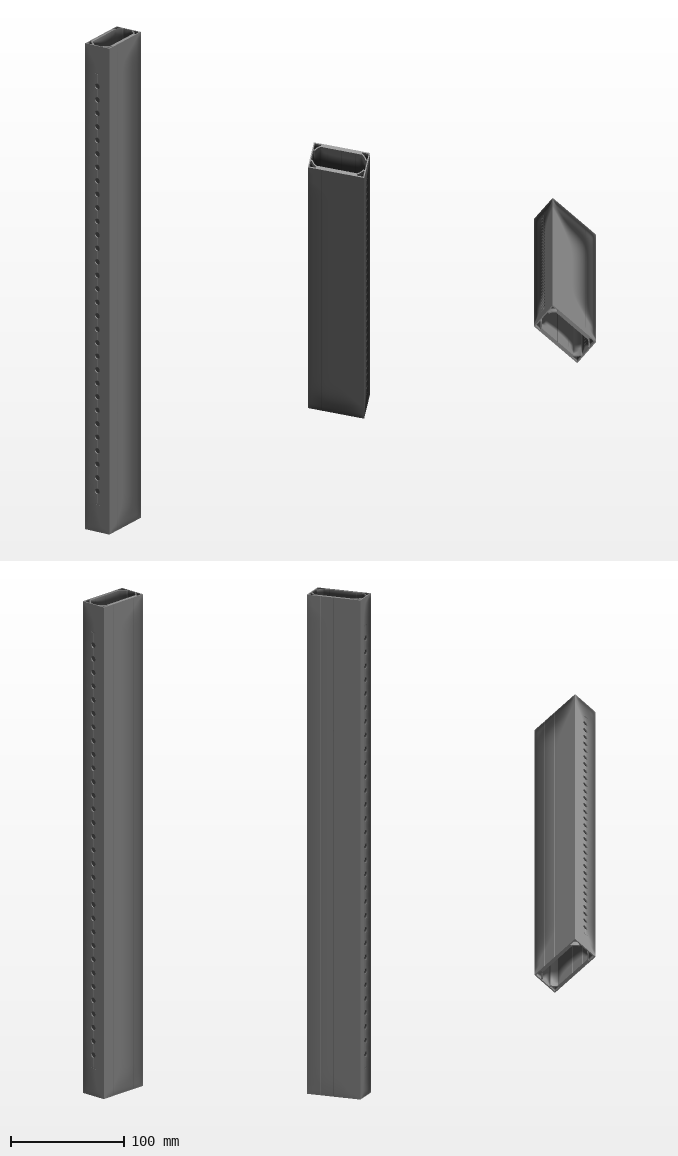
import cadquery as cq

width = 25.4
depth = 50.8
length = 457.2

pitch = 12.7
thin_wall = 1.016
thick_wall = 3.175
bore_radius = 11.1125
web_radius = bore_radius + thin_wall
pocket_half_width = 4.7625
channel_start = pocket_half_width + thin_wall

half_width = width / 2
half_depth = depth / 2
channel_x = half_width - thin_wall
inner_y = half_depth - thin_wall
cavity_x = half_width - thick_wall

groove_width = 0.4
groove_depth = groove_width / 2
groove_positions = (-pitch, 0, pitch)

hole_diameter = 5.0
hole_count = 31
row_length = (hole_count + 1) * pitch
bar_length = hole_diameter
bar_height = 1.2


def prism(profile):
    """Extrude an XY profile over the full length."""
    return profile.extrude(length / 2, both=True)


def make_cavity():
    """Two bores joined by a box and trimmed flat by the thick walls, plus the mid-face pockets."""
    bores = prism(cq.Workplane("XY").pushPoints([(0, -pitch), (0, pitch)]).circle(bore_radius))
    middle = prism(cq.Workplane("XY").rect(width, 2 * pitch))
    limit = prism(cq.Workplane("XY").rect(2 * cavity_x, depth))
    pockets = prism(cq.Workplane("XY").rect(2 * pocket_half_width, 2 * inner_y))
    return bores.union(middle).intersect(limit).union(pockets)


def make_corner_channels():
    """Square channels in the four corners, each cut back by the round web beside the bore."""
    near_y = pitch + channel_start
    center = ((channel_start + channel_x) / 2, (near_y + inner_y) / 2)
    corners = [(side_x * center[0], side_y * center[1]) for side_x in (-1, 1) for side_y in (-1, 1)]
    squares = prism(cq.Workplane("XY").pushPoints(corners).rect(channel_x - channel_start, inner_y - near_y))
    webs = prism(cq.Workplane("XY").pushPoints([(0, -pitch), (0, pitch)]).circle(web_radius))
    return squares.cut(webs)


def make_side_groove(face_x, inward, y):
    """V-groove along Z in the face at face_x; inward is the X direction into the wall."""
    return prism(
        cq.Workplane("XY")
        .moveTo(face_x, y - groove_width / 2)
        .lineTo(face_x + inward * groove_depth, y)
        .lineTo(face_x, y + groove_width / 2)
        .close()
    )


def make_holes():
    """Evenly pitched holes through both Y walls."""
    points = [(0, (i - (hole_count - 1) / 2) * pitch) for i in range(hole_count)]
    return cq.Workplane("XZ").pushPoints(points).circle(hole_diameter / 2).extrude(half_depth, both=True)


def make_row_scribe(side):
    """V-groove along the hole row of one Y wall, with a cross bar inside each end."""
    face_y = side * half_depth
    scribe = (
        cq.Workplane("XY")
        .moveTo(-groove_width / 2, face_y)
        .lineTo(0, face_y - side * groove_depth)
        .lineTo(groove_width / 2, face_y)
        .close()
        .extrude(row_length / 2, both=True)
    )
    for end in (-1, 1):
        bar = cq.Workplane("XY").box(bar_length, 2 * groove_depth, bar_height)
        scribe = scribe.union(bar.translate((0, face_y, end * (row_length - bar_height) / 2)))
    return scribe


result = prism(cq.Workplane("XY").rect(width, depth))
result = result.cut(make_cavity()).cut(make_corner_channels()).cut(make_holes())
for side in (-1, 1):
    for groove_y in groove_positions:
        result = result.cut(make_side_groove(side * half_width, -side, groove_y))
        result = result.cut(make_side_groove(side * cavity_x, side, groove_y))
    result = result.cut(make_row_scribe(side))